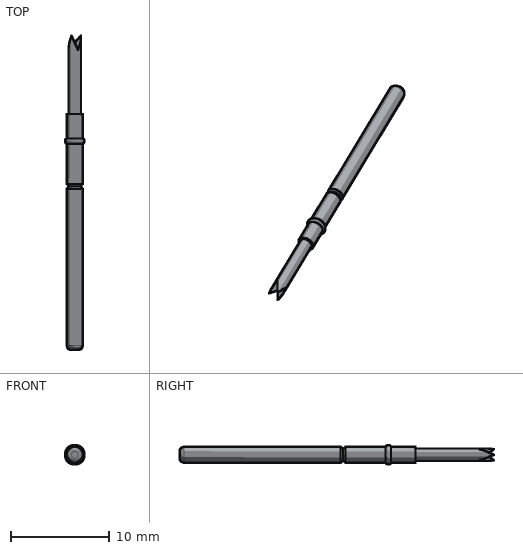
import cadquery as cq
import math

total_length = 32.0
plunger_radius = 0.65
plunger_length = 8.0
barrel_radius = 0.825

ring_radius = 1.0
ring_width = 0.56
ring_to_tip = 10.74

groove_front_to_tip = 15.1
groove_front_width = 0.28
groove_rear_width = 0.23
groove_depth = 0.19

barrel_end_fillet = 0.47

point_count = 3
crown_centre_depth = 0.68
crown_valley_depth = 1.45

tip_y = plunger_length
end_y = tip_y - total_length
ring_y = tip_y - ring_to_tip
groove_front_y = tip_y - groove_front_to_tip
groove_floor_y = groove_front_y - groove_front_width
groove_rear_y = groove_floor_y - groove_rear_width

groove_arc_radius = (groove_front_width**2 + groove_depth**2) / (2 * groove_depth)


def make_body():
    """Revolve the half section (radius along X, length along Y) about the Y axis."""
    ring_rear_y = ring_y - ring_width / 2
    ring_front_y = ring_y + ring_width / 2
    section = (
        cq.Workplane("XY")
        .moveTo(0, end_y)
        .lineTo(barrel_radius - barrel_end_fillet, end_y)
        .radiusArc((barrel_radius, end_y + barrel_end_fillet), -barrel_end_fillet)
        .lineTo(barrel_radius, groove_rear_y)
        .lineTo(barrel_radius - groove_depth, groove_floor_y)
        .radiusArc((barrel_radius, groove_front_y), groove_arc_radius)
        .lineTo(barrel_radius, ring_rear_y)
        .threePointArc((ring_radius, ring_y), (barrel_radius, ring_front_y))
        .lineTo(barrel_radius, 0)
        .lineTo(plunger_radius, 0)
        .lineTo(plunger_radius, tip_y)
        .lineTo(0, tip_y)
        .close()
    )
    return section.revolve(360, (0, 0, 0), (0, 1, 0))


def make_crown_groove():
    """V cutter whose valley slopes from the crown centre back towards the +X side."""
    valley_slope = (crown_valley_depth - crown_centre_depth) / plunger_radius
    half_pitch = math.pi / point_count
    point_x = plunger_radius * math.cos(half_pitch)
    point_z = plunger_radius * math.sin(half_pitch)
    valley_depth_at_points = crown_centre_depth + valley_slope * point_x
    flank_slope = valley_depth_at_points / point_z

    reach = 2 * plunger_radius
    cutter_height = 2 * crown_valley_depth
    half_width = cutter_height / flank_slope
    valley_start_y = tip_y - crown_centre_depth + valley_slope * reach

    section = cq.Wire.makePolygon(
        [
            cq.Vector(-reach, valley_start_y, 0),
            cq.Vector(-reach, valley_start_y + cutter_height, half_width),
            cq.Vector(-reach, valley_start_y + cutter_height, -half_width),
        ],
        close=True,
    )
    valley_run = cq.Vector(2 * reach, -2 * reach * valley_slope, 0)
    return cq.Workplane(obj=cq.Solid.extrudeLinear(section, [], valley_run))


def cut_crown(body):
    """Cut the V grooves evenly around the axis, leaving one point on the +X side."""
    pitch = 360 / point_count
    groove = make_crown_groove()
    for index in range(point_count):
        angle = (index + 0.5) * pitch
        body = body.cut(groove.rotate((0, 0, 0), (0, 1, 0), angle))
    return body


result = cut_crown(make_body()).solids()